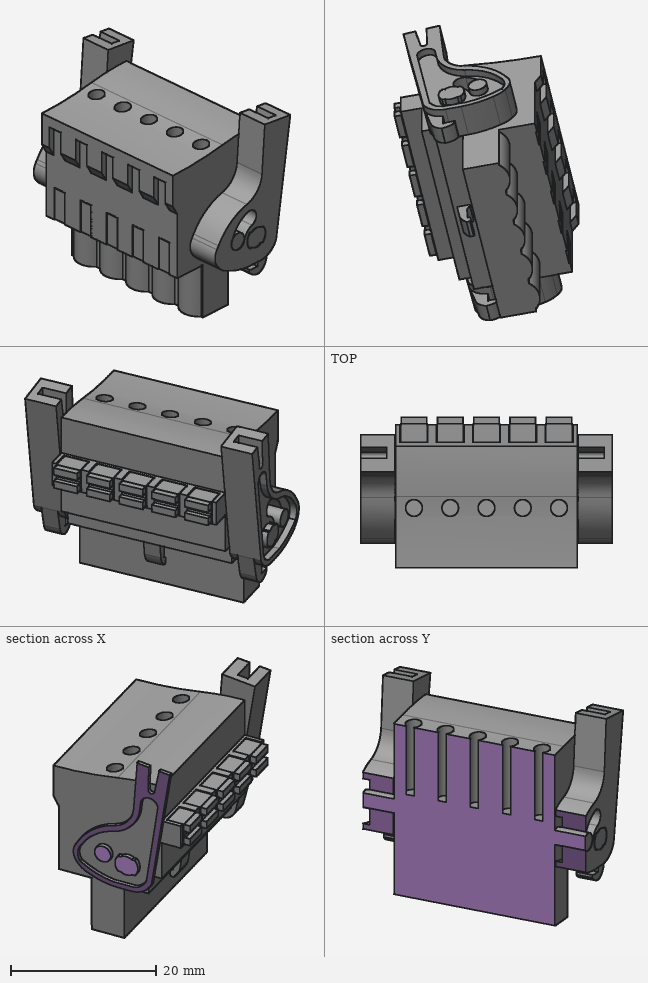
import cadquery as cq
import math


total_length = 34.7
pole_count = 5
pole_pitch = 5.0
housing_length = 25.05
lever_width = 4.75

pole_centers = [(i - (pole_count - 1) / 2) * pole_pitch for i in range(pole_count)]
housing_end = housing_length / 2
lever_inner_face = total_length / 2 - lever_width
lever_starts = [-total_length / 2, lever_inner_face]

brow_overhang = 0.87
brow_bottom = 10.2
brow_slope_top = 11.7
front_height = 16.62
crest_height = 18.05
crest_join_y = 9.02
rear_y = 15.93
rear_bottom = 3.02
base_rear_y = 13.88
shelf_rear_y = 18.88
shelf_bottom = 8.8
shelf_top = 12.4

window_width = 2.15
window_bottom = 10.05
window_top = 15.0
slit_width = 2.05
slit_height = 5.03
slit_depth = 0.17
wire_hole_diameter = 2.3
wire_hole_y = 7.4
wire_hole_floor = 6.95
socket_drop = 8.33
socket_rear_y = 10.13
socket_web_y = 5.1
socket_front_y = 4.1
socket_lobe_width = 4.37

latch_width = 2.5

pivot_y = 10.75
pivot_z = 3.95
pivot_radius = 1.53
pivot_ear_radius = 1.8
pivot_ear_height = 2.5
guide_y = 7.08
guide_z = 4.82
guide_radius = 1.3
guide_swing = 56.0
pin_length = 4.75

pocket_depth = 1.05
finger_slot_depth = 3.6
hook_offset = 1.1
hook_width = 2.5

contact_width = 3.65
contact_side_gap = 0.1
contact_front_y = 16.4
contact_block_rear_y = 18.98
contact_rear_y = 19.92
contact_bottom = 9.05
contact_top = 12.32
contact_tab_step = 0.05
contact_fork_gap = 0.97
contact_root_chamfer = 0.2


def side_plane(x):
    """Workplane with local x along Y and local y along Z, facing +X."""
    return cq.Workplane("YZ", origin=(x, 0, 0))


def box_between(x0, x1, y0, y1, z0, z1):
    return cq.Workplane("XY").box(x1 - x0, y1 - y0, z1 - z0, centered=False).translate((x0, y0, z0))


def box_on_pole(x, width, y0, y1, z0, z1):
    return box_between(x - width / 2, x + width / 2, y0, y1, z0, z1)



def pivot_shape(x, length):
    """Round pivot with an ear on its front and rear sides."""
    axis = side_plane(x).center(pivot_y, pivot_z)
    core = axis.circle(pivot_radius).extrude(length)
    ears = axis.circle(pivot_ear_radius).extrude(length)
    ear_band = axis.rect(2 * pivot_ear_radius, pivot_ear_height).extrude(length)
    return core.union(ears.intersect(ear_band))


def guide_shape(x, length):
    return side_plane(x).center(guide_y, guide_z).circle(guide_radius).extrude(length)



def level_arc_middle(level_end, far_end):
    """Middle point of the arc that runs level at one end and passes through the other."""
    run = far_end[0] - level_end[0]
    rise = far_end[1] - level_end[1]
    radius = (run**2 + rise**2) / (2 * rise)
    half_angle = math.asin(run / radius) / 2
    return (
        level_end[0] + radius * math.sin(half_angle),
        level_end[1] + radius * (1 - math.cos(half_angle)),
    )


def housing_block():
    roof_front = (-brow_overhang, front_height)
    roof_rear = (rear_y, crest_height)
    join_share = (crest_join_y - roof_front[0]) / (rear_y - roof_front[0])
    roof_join = (crest_join_y, front_height + join_share * (crest_height - front_height))
    return (
        side_plane(-housing_end)
        .moveTo(0, 0)
        .lineTo(0, brow_bottom)
        .lineTo(-brow_overhang, brow_slope_top)
        .lineTo(*roof_front)
        .threePointArc(level_arc_middle(roof_front, roof_join), roof_join)
        .threePointArc(level_arc_middle(roof_rear, roof_join), roof_rear)
        .lineTo(rear_y, shelf_top)
        .lineTo(shelf_rear_y, shelf_top)
        .lineTo(shelf_rear_y, shelf_bottom)
        .lineTo(rear_y, shelf_bottom)
        .lineTo(rear_y, rear_bottom)
        .lineTo(base_rear_y, rear_bottom)
        .lineTo(base_rear_y, 0)
        .close()
        .extrude(housing_length)
    )


def brow_window(x):
    """Recess through the brow, level with the lower front face."""
    return box_on_pole(x, window_width, -brow_overhang, 0, window_bottom, window_top)


def front_slit(x):
    return box_on_pole(x, slit_width, 0, slit_depth, 0, slit_height)


def wire_hole(x):
    return (
        cq.Workplane("XY", origin=(x, wire_hole_y, wire_hole_floor))
        .circle(wire_hole_diameter / 2)
        .extrude(crest_height - wire_hole_floor)
    )


def contact_slot(x):
    """Slot in the rear shelf, open at its top and rear."""
    width = contact_width + 2 * contact_side_gap
    return box_on_pole(x, width, contact_front_y, shelf_rear_y, contact_bottom, shelf_top)


def socket_web():
    return box_between(-housing_end, housing_end, socket_web_y, socket_rear_y, -socket_drop, 0)


def socket_lobe(x):
    """Rounded front of one socket."""
    half_width = socket_lobe_width / 2
    return (
        cq.Workplane("XY")
        .moveTo(x - half_width, socket_web_y)
        .threePointArc((x, socket_front_y), (x + half_width, socket_web_y))
        .close()
        .extrude(-socket_drop)
    )


def latch_leg():
    """Leg under the rear of the housing with a nose at its tip."""
    return (
        side_plane(-latch_width / 2)
        .moveTo(11.52, 0)
        .lineTo(11.52, -0.35)
        .threePointArc((11.8, -0.75), (11.95, -1.25))
        .lineTo(11.87, -3.0)
        .lineTo(11.45, -3.25)
        .lineTo(11.38, -3.8)
        .lineTo(11.52, -4.15)
        .lineTo(12.0, -4.15)
        .threePointArc((12.63, -3.4), (12.98, -2.5))
        .lineTo(13.32, 0)
        .close()
        .extrude(latch_width)
    )


def make_housing():
    housing = housing_block().union(socket_web()).union(latch_leg())
    for x in pole_centers:
        housing = housing.union(socket_lobe(x))
        housing = housing.cut(brow_window(x)).cut(front_slit(x))
        housing = housing.cut(wire_hole(x)).cut(contact_slot(x))
    for pin_start in (-housing_end - pin_length, housing_end):
        housing = housing.union(pivot_shape(pin_start, pin_length))
        housing = housing.union(guide_shape(pin_start, pin_length))
    return housing



def lever_plate(x):
    """Handle that widens at its foot into a rounded cam."""
    return (
        side_plane(x)
        .moveTo(17.5, 20.65)
        .lineTo(12.4, 21.2)
        .lineTo(11.85, 13.57)
        .tangentArcPoint((8.85, 10.0), relative=False)
        .tangentArcPoint((3.2, 5.75), relative=False)
        .lineTo(2.88, 5.27)
        .tangentArcPoint((3.15, 2.32), relative=False)
        .threePointArc((3.85, 1.63), (4.85, 1.08))
        .threePointArc((7.0, 0.3), (9.37, 0))
        .lineTo(11.6, 0)
        .threePointArc((13.75, 0.8), (14.68, 2.08))
        .close()
        .extrude(lever_width)
    )


def lever_pocket(x):
    """Shallow recess in the -X side that leaves a rim along the outline."""
    return (
        side_plane(x)
        .moveTo(15.58, 14.8)
        .threePointArc((14.33, 15.93), (13.0, 14.92))
        .lineTo(12.77, 13.08)
        .threePointArc((11.62, 10.75), (8.92, 9.0))
        .threePointArc((6.1, 7.77), (3.85, 5.45))
        .threePointArc((3.25, 4.05), (3.6, 2.7))
        .threePointArc((5.73, 1.6), (8.68, 0.85))
        .lineTo(12.0, 0.85)
        .threePointArc((13.22, 1.53), (13.85, 2.57))
        .close()
        .extrude(pocket_depth)
    )


def finger_slot(x):
    """Tapered slot with a rounded bottom, open at the top and on the -X side."""
    return (
        side_plane(x)
        .moveTo(15.93, 21.5)
        .lineTo(15.1, 17.35)
        .threePointArc((14.65, 16.83), (14.15, 17.35))
        .lineTo(14.25, 21.5)
        .close()
        .extrude(finger_slot_depth)
    )


def guide_slot(x):
    """Slot curved about the pivot, with the guide pin at its lower end."""
    swing_radius = math.hypot(guide_y - pivot_y, guide_z - pivot_z)
    start_angle = math.atan2(guide_z - pivot_z, guide_y - pivot_y)

    def slot_point(radius, share):
        angle = start_angle - math.radians(guide_swing) * share
        return (pivot_y + radius * math.cos(angle), pivot_z + radius * math.sin(angle))

    outer = swing_radius + guide_radius
    inner = swing_radius - guide_radius
    sweep = (
        side_plane(x)
        .moveTo(*slot_point(outer, 0))
        .threePointArc(slot_point(outer, 0.5), slot_point(outer, 1))
        .lineTo(*slot_point(inner, 1))
        .threePointArc(slot_point(inner, 0.5), slot_point(inner, 0))
        .close()
        .extrude(lever_width)
    )
    far_end = side_plane(x).center(*slot_point(swing_radius, 1)).circle(guide_radius).extrude(lever_width)
    return sweep.union(far_end).union(guide_shape(x, lever_width))


def lever_hook(x):
    """Hook that hangs below the cam and turns its tip towards the front."""
    return (
        side_plane(x + hook_offset)
        .moveTo(14.68, 2.08)
        .lineTo(13.88, -1.25)
        .threePointArc((13.32, -2.25), (12.35, -2.85))
        .threePointArc((11.3, -2.65), (10.48, -1.95))
        .lineTo(10.48, -1.53)
        .lineTo(10.93, -1.63)
        .lineTo(12.15, -1.63)
        .lineTo(12.15, 0.7)
        .close()
        .extrude(hook_width)
    )


def make_lever(x):
    lever = lever_plate(x).cut(lever_pocket(x)).cut(finger_slot(x))
    lever = lever.cut(pivot_shape(x, lever_width)).cut(guide_slot(x))
    return lever.union(lever_hook(x))



def make_contact(x):
    """Block seated in the shelf with two tabs that stand out at the rear."""
    block = box_on_pole(x, contact_width, contact_front_y, contact_block_rear_y, contact_bottom, contact_top)
    tabs = box_on_pole(
        x,
        contact_width - 2 * contact_tab_step,
        contact_block_rear_y,
        contact_rear_y,
        contact_bottom + contact_tab_step,
        contact_top - contact_tab_step,
    )
    middle_z = (contact_bottom + contact_top) / 2
    half_gap = contact_fork_gap / 2
    fork = (
        side_plane(x - contact_width / 2)
        .moveTo(contact_block_rear_y, middle_z - half_gap + contact_root_chamfer)
        .lineTo(contact_block_rear_y + contact_root_chamfer, middle_z - half_gap)
        .lineTo(contact_rear_y, middle_z - half_gap)
        .lineTo(contact_rear_y, middle_z + half_gap)
        .lineTo(contact_block_rear_y + contact_root_chamfer, middle_z + half_gap)
        .lineTo(contact_block_rear_y, middle_z + half_gap - contact_root_chamfer)
        .close()
        .extrude(contact_width)
    )
    return block.union(tabs.cut(fork))



housing = make_housing()
levers = [make_lever(x) for x in lever_starts]
contacts = [make_contact(x) for x in pole_centers]

result = cq.Compound.makeCompound(
    [
        housing.val(),
        *[lever.val() for lever in levers],
        *[contact.val() for contact in contacts],
    ]
)